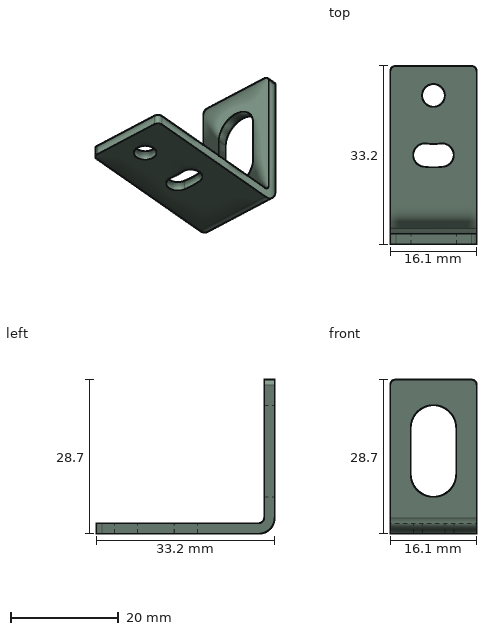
import cadquery as cq
import math

WIDTH = 16.1
DEPTH = 33.2
HEIGHT = 28.7

THICKNESS = 2.0
BEND_INNER_RADIUS = 1.0
BEND_OUTER_RADIUS = BEND_INNER_RADIUS + THICKNESS
CORNER_RADIUS = 1.0

PIVOT_DIAMETER = 4.2
PIVOT_EDGE_DISTANCE = 5.5
PIVOT_Y = DEPTH - PIVOT_EDGE_DISTANCE

ARC_SLOT_RADIUS = 11.2
ARC_SLOT_WIDTH = 4.3
ARC_SLOT_LENGTH = 7.5
ARC_SLOT_HALF_ANGLE = math.asin((ARC_SLOT_LENGTH - ARC_SLOT_WIDTH) / 2 / ARC_SLOT_RADIUS)

WALL_SLOT_WIDTH = 8.4
WALL_SLOT_LENGTH = 17.0
WALL_SLOT_Z = 15.4


def bent_sheet():
    """L-shaped sheet: base on Z = 0, wall outer face on Y = 0, centred on X."""
    mid_arc_inset = 1 - math.sqrt(0.5)
    outer_mid = BEND_OUTER_RADIUS * mid_arc_inset
    inner_mid = THICKNESS + BEND_INNER_RADIUS * mid_arc_inset
    return (
        cq.Workplane("YZ")
        .moveTo(DEPTH, 0)
        .lineTo(BEND_OUTER_RADIUS, 0)
        .threePointArc((outer_mid, outer_mid), (0, BEND_OUTER_RADIUS))
        .lineTo(0, HEIGHT)
        .lineTo(THICKNESS, HEIGHT)
        .lineTo(THICKNESS, BEND_OUTER_RADIUS)
        .threePointArc((inner_mid, inner_mid), (BEND_OUTER_RADIUS, THICKNESS))
        .lineTo(DEPTH, THICKNESS)
        .close()
        .extrude(WIDTH / 2, both=True)
    )


def round_free_corners(body):
    """Round the two corners at the free end of the base and of the wall."""
    body = body.faces(">Y").edges("|Z").fillet(CORNER_RADIUS)
    return body.faces(">Z").edges("|Y").fillet(CORNER_RADIUS)


def pivot_hole():
    return cq.Workplane("XY").center(0, PIVOT_Y).circle(PIVOT_DIAMETER / 2).extrude(THICKNESS)


def arc_slot():
    """Slot with round ends whose centreline is an arc about the pivot hole."""

    def polar(radius, angle):
        return (radius * math.sin(angle), PIVOT_Y - radius * math.cos(angle))

    half_width = ARC_SLOT_WIDTH / 2
    inner = ARC_SLOT_RADIUS - half_width
    outer = ARC_SLOT_RADIUS + half_width
    angle = ARC_SLOT_HALF_ANGLE

    def end_tip(side):
        x, y = polar(ARC_SLOT_RADIUS, side * angle)
        return (x + side * half_width * math.cos(angle), y + half_width * math.sin(angle))

    return (
        cq.Workplane("XY")
        .moveTo(*polar(inner, -angle))
        .threePointArc(polar(inner, 0), polar(inner, angle))
        .threePointArc(end_tip(1), polar(outer, angle))
        .threePointArc(polar(outer, 0), polar(outer, -angle))
        .threePointArc(end_tip(-1), polar(inner, -angle))
        .close()
        .extrude(THICKNESS)
    )


def wall_slot():
    return (
        cq.Workplane("XZ")
        .center(0, WALL_SLOT_Z)
        .slot2D(WALL_SLOT_LENGTH, WALL_SLOT_WIDTH, 90)
        .extrude(-THICKNESS)
    )


bracket = round_free_corners(bent_sheet())
result = bracket.cut(pivot_hole()).cut(arc_slot()).cut(wall_slot())